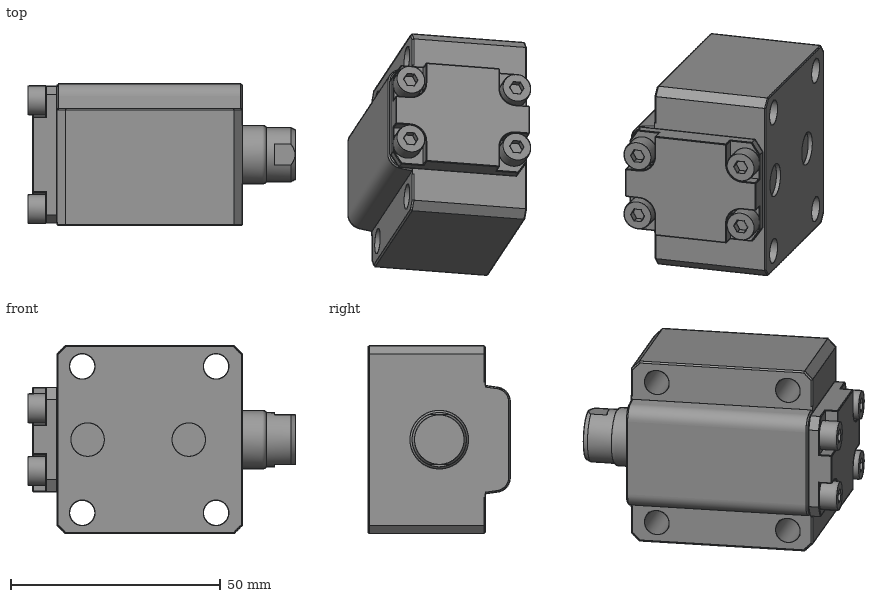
import cadquery as cq
import math


HOUSING_START = 7.0
HOUSING_LENGTH = 44.3
HOUSING_END = HOUSING_START + HOUSING_LENGTH
HOUSING_DEPTH = 28.0
HOUSING_HEIGHT = 45.0
CORNER_CHAMFER = 2.0
FRONT_EDGE_CHAMFER = 0.25
BACK_EDGE_CHAMFER = 0.4

TOTAL_DEPTH = 34.0
BACK_RISE_WIDTH = 25.9
BACK_RISE_DRAFT = 8
BACK_RISE_RADIUS = 3.5
PLAIN_EDGE_WIDTH = 27.65

MOUNTING_HOLE_DIAMETER = 6.0
MOUNTING_HOLE_SPACING_X = 32
MOUNTING_HOLE_SPACING_Z = 35.0
FIRST_HOLE_X = 13.0
PORT_DIAMETER = 8.0
PORT_DEPTH = 1.0
PORT_SPACING = 24.2
FIRST_PORT_X = 14.3

CENTRE_Y = TOTAL_DEPTH / 2
PLATE_FACE = 1.15
PLATE_DEPTH = 32.8
PLATE_HEIGHT = 25.0
PLATE_CORNER_Y = 2.0
PLATE_CORNER_Z = 2.95
PLATE_EDGE_CHAMFER = 0.2
POCKET_FLOOR = 4.2
POCKET_RADIUS = 4.0

SCREW_SPACING_Y = 26.0
SCREW_SPACING_Z = 15.0
HEAD_DIAMETER = 7.0
HEAD_FACE_DIAMETER = 6.8
HEAD_CHAMFER_LENGTH = 0.4
SOCKET_ACROSS_FLATS = 3.0
SOCKET_DEPTH = 2.0

COLLAR_DIAMETER = 14.0
COLLAR_EDGE_RADIUS = 1.0
COLLAR_LENGTH = 5.9
CONNECTOR_END = 64
SPIGOT_DIAMETER = 13.0
SPIGOT_CHAMFER_LENGTH = 1.15
SPIGOT_CHAMFER_HEIGHT = 0.6
FLAT_LENGTH = 5.0
ACROSS_FLATS = 12.0

SIDES = (-1, 1)


def box(x_range, y_range, z_range):
    """Block between the given limits."""
    size = [limits[1] - limits[0] for limits in (x_range, y_range, z_range)]
    corner = (x_range[0], y_range[0], z_range[0])
    return cq.Workplane("XY").box(*size, centered=False).translate(corner)


def screw_positions():
    """(Y, Z) of the four cap screws, each with its outward signs."""
    return [
        (CENTRE_Y + side_y * SCREW_SPACING_Y / 2, side_z * SCREW_SPACING_Z / 2, side_y, side_z)
        for side_y in SIDES
        for side_z in SIDES
    ]


def housing_block():
    """Main block with cut corners and broken front and back edges."""
    half_height = HOUSING_HEIGHT / 2
    block = box((HOUSING_START, HOUSING_END), (0, HOUSING_DEPTH), (-half_height, half_height))
    block = block.edges("|Y").chamfer(CORNER_CHAMFER)
    block = block.faces("<Y").chamfer(FRONT_EDGE_CHAMFER)
    block = block.faces(">Y").chamfer(BACK_EDGE_CHAMFER)
    plain_strip = box(
        (HOUSING_START, HOUSING_END),
        (HOUSING_DEPTH - BACK_EDGE_CHAMFER, HOUSING_DEPTH),
        (-PLAIN_EDGE_WIDTH / 2, PLAIN_EDGE_WIDTH / 2),
    )
    return block.union(plain_strip)


def raised_back():
    """Drafted rise with rounded shoulders that runs the length of the housing."""
    draft_slope = math.tan(math.radians(BACK_RISE_DRAFT))
    root = HOUSING_DEPTH - BACK_EDGE_CHAMFER
    base_half = BACK_RISE_WIDTH / 2 + BACK_EDGE_CHAMFER * draft_slope
    top_half = BACK_RISE_WIDTH / 2 - (TOTAL_DEPTH - HOUSING_DEPTH) * draft_slope
    rise = (
        cq.Workplane("YZ", origin=(HOUSING_START, 0, 0))
        .polyline([(root, -base_half), (TOTAL_DEPTH, -top_half), (TOTAL_DEPTH, top_half), (root, base_half)])
        .close()
        .extrude(HOUSING_LENGTH)
    )
    rise = rise.faces(">Y").edges("|X").fillet(BACK_RISE_RADIUS)
    end_edges = rise.faces("<X or >X").edges("not <Y")
    return end_edges.chamfer(BACK_EDGE_CHAMFER)


def front_drill(diameter, depth, positions):
    """Round cutters that enter the front face at the given (X, Z) positions."""
    return (
        cq.Workplane("XZ")
        .pushPoints(positions)
        .circle(diameter / 2)
        .extrude(-depth)
    )


def make_housing():
    """Block and raised back with four through holes and two shallow ports."""
    hole_positions = [
        (FIRST_HOLE_X + step * MOUNTING_HOLE_SPACING_X, side * MOUNTING_HOLE_SPACING_Z / 2)
        for step in range(2)
        for side in SIDES
    ]
    port_positions = [(FIRST_PORT_X + step * PORT_SPACING, 0) for step in range(2)]
    housing = housing_block().union(raised_back())
    housing = housing.cut(front_drill(MOUNTING_HOLE_DIAMETER, HOUSING_DEPTH, hole_positions))
    return housing.cut(front_drill(PORT_DIAMETER, PORT_DEPTH, port_positions))


def screw_pocket(y, z, side_y, side_z):
    """Pocket open to two plate sides, rounded about the screw axis at its inner corner."""
    reach = 2 * POCKET_RADIUS
    pocket = box((PLATE_FACE, POCKET_FLOOR), (-POCKET_RADIUS, reach), (-POCKET_RADIUS, reach))
    pocket = pocket.edges("|X and <Y and <Z").fillet(POCKET_RADIUS)
    if side_y < 0:
        pocket = pocket.mirror("XZ")
    if side_z < 0:
        pocket = pocket.mirror("XY")
    return pocket.translate((0, y, z))


def plate_rims(plate):
    """Edges of the front face, and all edges round the sides except those along the cut corners."""
    front_edges = plate.faces("<X").edges().vals()
    corner_edges = plate.edges("|X").edges(">X").vals()
    side_faces = [face for face in plate.faces("#X").vals() if face.BoundingBox().xmax > POCKET_FLOOR]
    side_edges = [
        edge
        for face in side_faces
        for edge in face.Edges()
        if not any(edge.isSame(corner) for corner in corner_edges)
    ]
    rims = []
    for edge in front_edges + side_edges:
        if not any(edge.isSame(other) for other in rims):
            rims.append(edge)
    return rims


def make_cover_plate():
    """Plate with cut corners, a pocket for each screw head and broken outer edges."""
    half_y = PLATE_DEPTH / 2
    half_z = PLATE_HEIGHT / 2
    cut_y = half_y - PLATE_CORNER_Y
    cut_z = half_z - PLATE_CORNER_Z
    outline = [
        (half_y, -cut_z), (half_y, cut_z), (cut_y, half_z), (-cut_y, half_z),
        (-half_y, cut_z), (-half_y, -cut_z), (-cut_y, -half_z), (cut_y, -half_z),
    ]
    plate = (
        cq.Workplane("YZ", origin=(PLATE_FACE, CENTRE_Y, 0))
        .polyline(outline)
        .close()
        .extrude(HOUSING_START - PLATE_FACE)
    )
    for position in screw_positions():
        plate = plate.cut(screw_pocket(*position))
    return plate.newObject(plate_rims(plate)).chamfer(PLATE_EDGE_CHAMFER)


def make_cap_screw(y, z):
    """Head of a socket cap screw, seated on its pocket floor."""
    head = cq.Workplane("YZ", origin=(0, y, z)).circle(HEAD_DIAMETER / 2).extrude(POCKET_FLOOR)
    chamfer_height = (HEAD_DIAMETER - HEAD_FACE_DIAMETER) / 2
    head = head.faces("<X").chamfer(HEAD_CHAMFER_LENGTH, chamfer_height)
    across_corners = SOCKET_ACROSS_FLATS / math.cos(math.radians(30))
    socket = cq.Workplane("YZ", origin=(0, y, z)).polygon(6, across_corners).extrude(SOCKET_DEPTH)
    return head.cut(socket)


def make_connector():
    """Round-edged collar and a chamfered spigot with two opposite flats at its end."""
    axis_start = (HOUSING_END, CENTRE_Y, 0)
    length = CONNECTOR_END - HOUSING_END
    collar = cq.Workplane("YZ", origin=axis_start).circle(COLLAR_DIAMETER / 2).extrude(COLLAR_LENGTH)
    collar = collar.faces(">X").edges().fillet(COLLAR_EDGE_RADIUS)
    spigot = cq.Workplane("YZ", origin=axis_start).circle(SPIGOT_DIAMETER / 2).extrude(length)
    spigot = spigot.faces(">X").chamfer(SPIGOT_CHAMFER_LENGTH, SPIGOT_CHAMFER_HEIGHT)
    for side in SIDES:
        z_limits = sorted((side * ACROSS_FLATS / 2, side * SPIGOT_DIAMETER))
        flat = box((CONNECTOR_END - FLAT_LENGTH, CONNECTOR_END), (0, TOTAL_DEPTH), z_limits)
        spigot = spigot.cut(flat)
    return collar.union(spigot)


housing = make_housing()
cover_plate = make_cover_plate()
cap_screws = [make_cap_screw(y, z) for y, z, _, _ in screw_positions()]
connector = make_connector()

result = cq.Compound.makeCompound(
    [housing.val(), cover_plate.val(), *[screw.val() for screw in cap_screws], connector.val()]
)